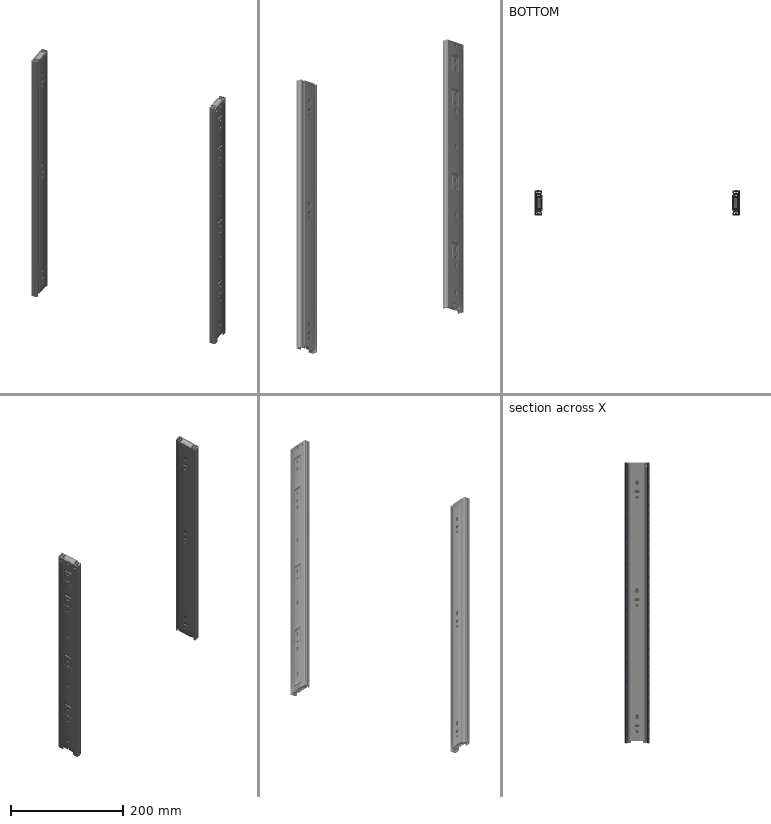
import cadquery as cq

slide_length = 500.0
pair_width = 364.0
slide_height = 44.0
slide_depth = 12.0

bead_center = 5.5
bead_half_width = 1.8
bead_start = bead_center - bead_half_width
bead_end = bead_center + bead_half_width
bead_depth = 1.4

outer_depth = 11.5
outer_web = 1.25
outer_flange = 1.1
outer_corner_radius = 1.0
outer_crown = 0.5
lip_length = 4.0
flange_top = slide_height / 2 - outer_crown
flange_bottom = flange_top - outer_flange

rail_gap = 0.75
middle_web = 1.0
middle_flange = 1.25
middle_half_height = 16.5
middle_end = 10.5
middle_lip_length = 3.0
middle_bead_depth = 1.25
middle_bead_half_width = 1.0
middle_bead_center = 6.5
middle_bottom = 3.5
middle_slit_width = 2.0
middle_slit_top = 12.5
end_relief_top = 7.0
end_relief_depth = 0.5
end_relief_width = 22.0
middle_back = outer_web + rail_gap
middle_face = middle_back + middle_web
middle_flange_bottom = middle_half_height - middle_flange

inner_web = 1.0
inner_flange = 1.75
inner_half_height = 13.0
inner_flange_top = 11.5
inner_start = middle_face + rail_gap
inner_bottom = middle_bottom
inner_web_back = slide_depth - inner_web
inner_flange_bottom = inner_flange_top - inner_flange

block_length = 10.0
block_clearance = 0.5

tab_slot_tops = [476.0, 412.0, 254.5, 125.5]
tab_slot_width = 19.0
tab_slot_height = 31.0
tab_leg_width = 2.0
tab_bar_height = 5.0
tab_corner_radius = 1.5

end_hole_height = 494.0
end_hole_diameter = 5.0
side_hole_height = 493.0
side_hole_diameter = 5.0
side_hole_offset = 15.5
small_holes = [465.0, 401.0]
small_hole_diameter = 6.0
large_holes = [450.0, 385.5]
large_hole_diameter = 7.0
plain_holes = [226.5, 97.5]
plain_hole_diameter = 5.0
row_slot_lowest = 113.0
row_slot_pitch = 64.0
row_slot_count = 4
row_slots = [row_slot_lowest + row_slot_pitch * step for step in range(row_slot_count)]
single_slots = [371.5, 83.0]
bottom_slot = 31.5
bottom_slot_length = 10.0
web_slot_length = 8.5
web_slot_width = 5.0

notch_width = 22.0
notch_height = 11.5
notch_corner_radius = 2.0

inner_groups = [448.0, 255.5, 30.5]
inner_slot_length = 9.0
inner_slot_width = 5.0
upright_slot_rise = 16.0
inner_hole_drop = 10.5
inner_hole_diameter = 5.0


def rail(half_section, bottom):
    """Extrude the +Y half of a section up to the slide top and mirror it across the XZ plane."""
    half = half_section.close().extrude(slide_length - bottom)
    half = half.translate((0, 0, bottom))
    return half.union(half.mirror("XZ")).clean()


def web_plane(x):
    """Sketch plane across the web: local x runs along +Y, local y along +Z."""
    return cq.Workplane("YZ", origin=(x, 0, 0))


def round_cutters(x, depth, diameter, places):
    return web_plane(x).pushPoints(places).circle(diameter / 2).extrude(depth)


def slot_cutters(x, depth, length, width, places, angle):
    return web_plane(x).pushPoints(places).slot2D(length, width, angle).extrude(depth)


def on_center(heights):
    return [(0, height) for height in heights]


def tab_cutter(top):
    """U-shaped slot, open downwards, that leaves a tongue in the outer web."""
    bottom = top - tab_slot_height
    outline = web_plane(0).center(0, top - tab_slot_height / 2)
    outline = outline.rect(tab_slot_width, tab_slot_height).extrude(outer_web)
    outline = outline.edges("|X and >Z").fillet(tab_corner_radius)
    tongue_height = tab_slot_height - tab_bar_height
    tongue = web_plane(0).center(0, bottom + tongue_height / 2)
    tongue = tongue.rect(tab_slot_width - 2 * tab_leg_width, tongue_height).extrude(outer_web)
    tongue = tongue.edges("|X and >Z").fillet(tab_corner_radius)
    return outline.cut(tongue)


def end_cutter(x, depth, width, bottom, top):
    """Rectangular cutter centred on Y = 0, from one height to another."""
    return web_plane(x).center(0, (bottom + top) / 2).rect(width, top - bottom).extrude(depth)


def notch_cutter():
    notch = end_cutter(0, outer_web, notch_width, 0, notch_height)
    return notch.edges("|X and >Z").fillet(notch_corner_radius)


def make_outer_rail():
    lip_bottom = slide_height / 2 - lip_length
    lip_start = outer_depth - outer_web
    corner_drop = outer_corner_radius * (1 - 0.5**0.5)
    section = (
        cq.Workplane("XY")
        .lineTo(0, flange_top - outer_corner_radius)
        .threePointArc((corner_drop, flange_top - corner_drop), (outer_corner_radius, flange_top))
        .lineTo(bead_start, flange_top)
        .threePointArc((bead_center, slide_height / 2), (bead_end, flange_top))
        .lineTo(outer_depth - outer_corner_radius, flange_top)
        .threePointArc(
            (outer_depth - corner_drop, flange_top - corner_drop),
            (outer_depth, flange_top - outer_corner_radius),
        )
        .lineTo(outer_depth, lip_bottom)
        .lineTo(lip_start, lip_bottom)
        .lineTo(lip_start, flange_bottom)
        .lineTo(bead_end, flange_bottom)
        .threePointArc((bead_center, flange_bottom - bead_depth), (bead_start, flange_bottom))
        .lineTo(outer_web, flange_bottom)
        .lineTo(outer_web, 0)
    )
    body = rail(section, 0)
    for top in tab_slot_tops:
        body = body.cut(tab_cutter(top))
    side_holes = [(side * side_hole_offset, side_hole_height) for side in (-1, 1)]
    hole_sets = [
        (end_hole_diameter, on_center([end_hole_height])),
        (side_hole_diameter, side_holes),
        (small_hole_diameter, on_center(small_holes)),
        (large_hole_diameter, on_center(large_holes)),
        (plain_hole_diameter, on_center(plain_holes)),
    ]
    for diameter, places in hole_sets:
        body = body.cut(round_cutters(0, outer_web, diameter, places))
    slot_sets = [
        (web_slot_length, row_slots + single_slots),
        (bottom_slot_length, [bottom_slot]),
    ]
    for length, heights in slot_sets:
        places = on_center(heights)
        body = body.cut(slot_cutters(0, outer_web, length, web_slot_width, places, 90))
    return body.cut(notch_cutter())


def make_middle_rail():
    lip_bottom = middle_half_height - middle_lip_length
    lip_start = middle_end - middle_web
    race_start = middle_bead_center - middle_bead_half_width
    race_end = middle_bead_center + middle_bead_half_width
    race_crest = middle_flange_bottom - middle_bead_depth
    section = (
        cq.Workplane("XY")
        .moveTo(middle_back, 0)
        .lineTo(middle_back, middle_half_height)
        .lineTo(middle_end, middle_half_height)
        .lineTo(middle_end, lip_bottom)
        .lineTo(lip_start, lip_bottom)
        .lineTo(lip_start, middle_flange_bottom)
        .lineTo(race_end, middle_flange_bottom)
        .threePointArc((middle_bead_center, race_crest), (race_start, middle_flange_bottom))
        .lineTo(middle_face, middle_flange_bottom)
        .lineTo(middle_face, 0)
    )
    slit = end_cutter(middle_back, middle_web, middle_slit_width, middle_bottom, middle_slit_top)
    relief = end_cutter(middle_back, end_relief_depth, end_relief_width, middle_bottom, end_relief_top)
    return rail(section, middle_bottom).cut(slit).cut(relief)


def make_inner_rail():
    section = (
        cq.Workplane("XY")
        .moveTo(slide_depth, 0)
        .lineTo(slide_depth, inner_half_height)
        .lineTo(inner_web_back, inner_half_height)
        .lineTo(inner_web_back, inner_flange_top)
        .lineTo(inner_start, inner_flange_top)
        .lineTo(inner_start, inner_flange_bottom)
        .lineTo(inner_web_back, inner_flange_bottom)
        .lineTo(inner_web_back, 0)
    )
    body = rail(section, inner_bottom)
    for height in inner_groups:
        upright_place = on_center([height + upright_slot_rise])
        hole_place = on_center([height - inner_hole_drop])
        slot_size = (inner_slot_length, inner_slot_width)
        body = body.cut(slot_cutters(inner_web_back, inner_web, *slot_size, upright_place, 90))
        body = body.cut(slot_cutters(inner_web_back, inner_web, *slot_size, on_center([height]), 0))
        body = body.cut(round_cutters(inner_web_back, inner_web, inner_hole_diameter, hole_place))
    return body


def make_stop_block():
    block = cq.Workplane("XY", origin=(middle_face, 0, slide_length - block_length))
    size = (inner_web_back - block_clearance - middle_face, 2 * inner_flange_bottom, block_length)
    return block.box(*size, centered=(False, True, False))


bodies = []
for make_body in (make_outer_rail, make_middle_rail, make_inner_rail, make_stop_block):
    left_body = make_body().translate((-pair_width / 2, 0, 0))
    bodies.append(left_body.val())
    bodies.append(left_body.mirror("YZ").val())

result = cq.Compound.makeCompound(bodies)